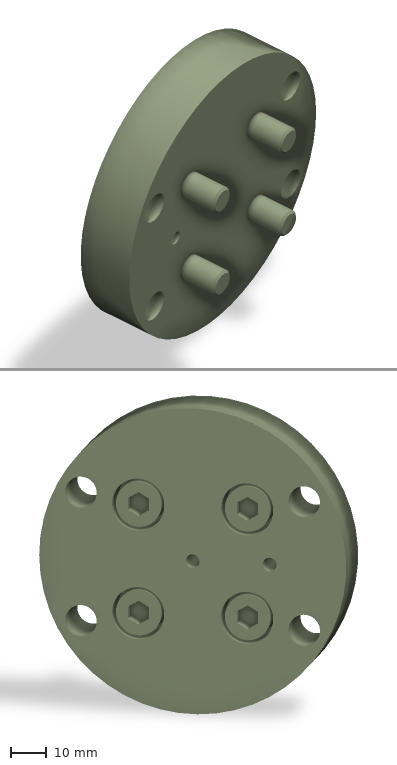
import cadquery as cq
import math

plate_diameter = 88.0
plate_thickness = 17.0

mount_circle_radius = 37.0
mount_angle = 30.0
mount_hole_diameter = 9.0

screw_circle_radius = 22.1
screw_angle = 45.0
locating_hole_diameter = 4.0

counterbore_diameter = 15.0
head_diameter = 13.0
head_recess = 0.6
head_height = 8.0
counterbore_depth = head_recess + head_height
shank_diameter = 8.0
shank_tip_x = 28.6
shank_tip_chamfer = 0.7
socket_across_flats = 6.0
socket_depth = 4.0


def mirrored_points(radius, angle):
    """Four (Y, Z) points at the given angle from the Y axis, one in each quadrant."""
    y = radius * math.cos(math.radians(angle))
    z = radius * math.sin(math.radians(angle))
    return [(y, z), (-y, z), (-y, -z), (y, -z)]


def cylinders(points, diameter, start_x, end_x):
    """Cylinders along X, centred on the (Y, Z) points."""
    sketch_plane = cq.Workplane("YZ", origin=(start_x, 0, 0))
    return sketch_plane.pushPoints(points).circle(diameter / 2).extrude(end_x - start_x)


def hex_sockets(points):
    """Hexagonal drive recesses with two corners in line with Z."""
    corner_radius = socket_across_flats / math.sqrt(3)
    corner_angles = [math.radians(30 + 60 * i) for i in range(6)]
    corners = [(corner_radius * math.cos(a), corner_radius * math.sin(a)) for a in corner_angles]
    hexagon = cq.Workplane("YZ", origin=(head_recess, 0, 0)).polyline(corners).close()
    socket = hexagon.extrude(socket_depth)
    sockets = cq.Workplane("YZ")
    for y, z in points:
        sockets = sockets.add(socket.translate((0, y, z)))
    return sockets.combine()


def screws(points):
    """Screws with plain cylindrical heads, hex sockets and chamfered tips."""
    heads = cylinders(points, head_diameter, head_recess, counterbore_depth)
    shanks = cylinders(points, shank_diameter, counterbore_depth, shank_tip_x)
    shanks = shanks.faces(">X").chamfer(shank_tip_chamfer)
    return heads.union(shanks).cut(hex_sockets(points))


mount_points = mirrored_points(mount_circle_radius, mount_angle)
screw_points = mirrored_points(screw_circle_radius, screw_angle)
locating_points = [(0, 0), (-screw_circle_radius, 0)]

plate = cylinders([(0, 0)], plate_diameter, 0, plate_thickness)
plate = plate.cut(cylinders(mount_points, mount_hole_diameter, 0, plate_thickness))
plate = plate.cut(cylinders(locating_points, locating_hole_diameter, 0, plate_thickness))
plate = plate.cut(cylinders(screw_points, counterbore_diameter, 0, counterbore_depth))

result = plate.union(screws(screw_points))